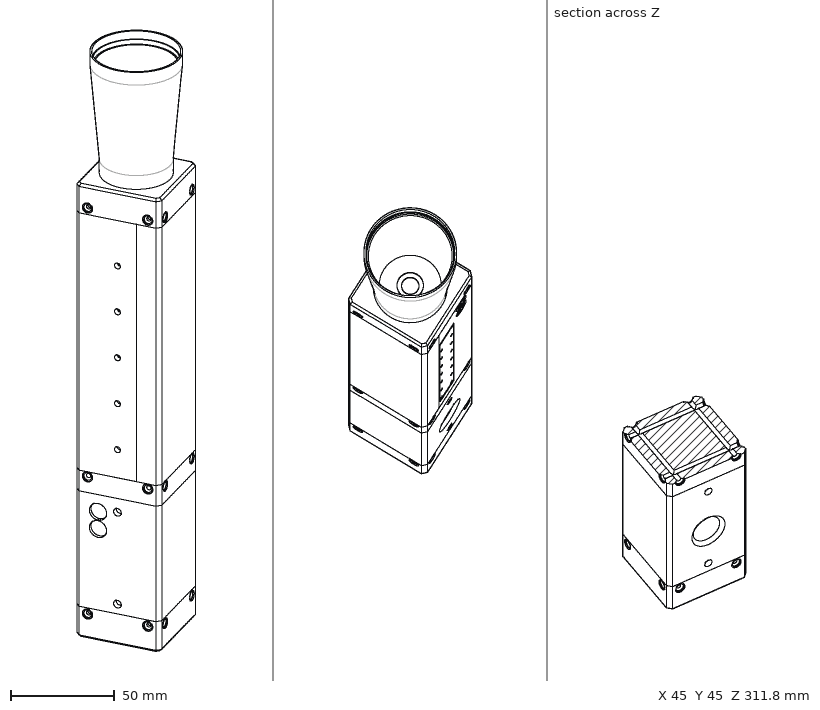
import cadquery as cq

WIDTH = 45.0
HALF = WIDTH / 2
CORNER_BEVEL = 2.2
END_BEVEL = 1.2

BOTTOM_CAP_TOP = 16.8
LOWER_BOX_TOP = 79.5
MIDDLE_PLATE_TOP = 90.7
UPPER_BOX_TOP = 230.5
TOP_CAP_TOP = 246.0
TOTAL_HEIGHT = 311.8

HORN_NECK_DIAMETER = 36.0
HORN_NECK_TOP = 253.5
HORN_RIM_BOTTOM = 305.0
HORN_MOUTH_DIAMETER = 43.0
HORN_MOUTH_DEPTH = 4.5
HORN_SEAT_DIAMETER = 42.0
HORN_THROAT_DIAMETER = 40.5
HORN_FLOOR_DIAMETER = 30.0
HORN_FLOOR_HEIGHT = 249.0
FEED_RING_DIAMETER = 12.8
FEED_RING_DEPTH = 1.0
FEED_BORE_DIAMETER = 8.5
FEED_BORE_DEPTH = 2.0

SIDE_COUNT = 4
SCREW_OFFSET = 16.0
SCREW_HEAD_DIAMETER = 5.3
SCREW_HEAD_DEPTH = 0.5
SCREW_SINK_DIAMETER = 4.0
SCREW_HOLE_DIAMETER = 2.2
SCREW_HOLE_DEPTH = 3.0
BOTTOM_SCREW_HEIGHT = 13.5
MIDDLE_SCREW_HEIGHT = 88.0
TOP_SCREW_HEIGHT = 234.0

COVER_EDGE = 10.0
COVER_HOLE_DIAMETER = 3.0
COVER_HOLE_DEPTH = 3.0
COVER_HOLE_COUNT = 5
COVER_HOLE_PITCH = 25.0
COVER_HOLE_CENTRE = 156.0

STRIP_BOTTOM = 99.5
STRIP_TOP = 208.0
STRIP_BACK = 8.7
STRIP_FRONT = -4.0
STRIP_DEPTH = 0.3
STRIP_HOLE_DIAMETER = 1.5
STRIP_HOLE_DEPTH = 1.0
STRIP_HOLE_ROWS = 8
STRIP_HOLE_PITCH = 15.0
STRIP_HOLE_SPACING = 9.0

CONNECTOR_Y = -10.5
CONNECTOR_HEIGHTS = (224.8, 215.5)
CONNECTOR_DIAMETER = 9.0
CONNECTOR_LENGTH = 6.2
SOCKET_DIAMETER = 6.2
SOCKET_DEPTH = 3.0
PIN_DIAMETER = 1.1
PIN_CIRCLE = 3.7
PIN_START_ANGLE = 45
PIN_COUNTS = (3, 4)

MOUNT_HOLE_DIAMETER = 4.0
MOUNT_HOLE_DEPTH = 3.0
MOUNT_HOLE_HEIGHTS = (22.0, 72.0)
PORT_X = -10.3
PORT_HEIGHTS = (70.0, 60.8)
PORT_DIAMETER = 9.0
PORT_DEPTH = 2.0
WINDOW_HEIGHT = 44.5
WINDOW_DIAMETER = 18.7
WINDOW_FLOOR_DIAMETER = 15.0
WINDOW_DEPTH = 2.0


def column(bottom, top):
    """A length of the bevelled square column."""
    return (
        cq.Workplane("XY", origin=(0, 0, bottom))
        .rect(WIDTH, WIDTH)
        .extrude(top - bottom)
        .edges("|Z")
        .chamfer(CORNER_BEVEL)
    )


def front_cylinder(x, z, diameter, depth):
    """A round cutter going in from the -Y face."""
    return cq.Workplane("XZ", origin=(x, -HALF, z)).circle(diameter / 2).extrude(-depth)


def side_cylinder(y, z, diameter, depth):
    """A round cutter going in from the -X face."""
    return cq.Workplane("YZ", origin=(-HALF, y, z)).circle(diameter / 2).extrude(depth)


def countersunk_cutter(z, offset, hole_depth):
    """A countersunk hole going in from the -Y face."""
    head = SCREW_HEAD_DIAMETER / 2
    rim = SCREW_SINK_DIAMETER / 2
    shank = SCREW_HOLE_DIAMETER / 2
    sink_bottom = SCREW_HEAD_DEPTH + rim - shank
    half_section = [
        (0, 0),
        (head, 0),
        (head, SCREW_HEAD_DEPTH),
        (rim, SCREW_HEAD_DEPTH),
        (shank, sink_bottom),
        (shank, hole_depth),
        (0, hole_depth),
    ]
    cutter = cq.Workplane("XY").polyline(half_section).close().revolve(360, (0, 0, 0), (0, 1, 0))
    return cutter.translate((offset, -HALF, z))


def cut_screw_holes(body, z, hole_depth):
    """Two countersunk holes in each of the four sides."""
    for side in range(SIDE_COUNT):
        for offset in (-SCREW_OFFSET, SCREW_OFFSET):
            cutter = countersunk_cutter(z, offset, hole_depth)
            body = body.cut(cutter.rotate((0, 0, 0), (0, 0, 1), side * 360 / SIDE_COUNT))
    return body


def make_bottom_cap():
    cap = column(0, BOTTOM_CAP_TOP).faces("<Z").chamfer(END_BEVEL)
    return cut_screw_holes(cap, BOTTOM_SCREW_HEIGHT, SCREW_HOLE_DEPTH)


def make_lower_box():
    box = column(BOTTOM_CAP_TOP, LOWER_BOX_TOP)
    for z in MOUNT_HOLE_HEIGHTS:
        box = box.cut(front_cylinder(0, z, MOUNT_HOLE_DIAMETER, MOUNT_HOLE_DEPTH))
        box = box.cut(side_cylinder(0, z, MOUNT_HOLE_DIAMETER, MOUNT_HOLE_DEPTH))
    for z in PORT_HEIGHTS:
        box = box.cut(front_cylinder(PORT_X, z, PORT_DIAMETER, PORT_DEPTH))
    window = (
        cq.Workplane("YZ", origin=(-HALF, 0, WINDOW_HEIGHT))
        .circle(WINDOW_DIAMETER / 2)
        .workplane(offset=WINDOW_DEPTH)
        .circle(WINDOW_FLOOR_DIAMETER / 2)
        .loft()
    )
    return box.cut(window)


def make_middle_plate():
    plate = column(LOWER_BOX_TOP, MIDDLE_PLATE_TOP)
    return cut_screw_holes(plate, MIDDLE_SCREW_HEIGHT, WIDTH)


def cover_region():
    """The part of the upper box taken by the cover, toward the -X, -Y corner."""
    side = HALF + COVER_EDGE
    height = UPPER_BOX_TOP - MIDDLE_PLATE_TOP
    corner = (-HALF, -HALF, MIDDLE_PLATE_TOP)
    return cq.Workplane("XY", origin=corner).box(side, side, height, centered=False)


def make_frame():
    return column(MIDDLE_PLATE_TOP, UPPER_BOX_TOP).cut(cover_region())


def cut_strip(cover):
    """A shallow rectangular panel with two columns of small holes."""
    width = STRIP_BACK - STRIP_FRONT
    height = STRIP_TOP - STRIP_BOTTOM
    middle_y = (STRIP_BACK + STRIP_FRONT) / 2
    middle_z = (STRIP_TOP + STRIP_BOTTOM) / 2
    panel = cq.Workplane("YZ", origin=(-HALF, middle_y, middle_z)).rect(width, height).extrude(STRIP_DEPTH)
    holes = (
        cq.Workplane("YZ", origin=(-HALF, middle_y, middle_z))
        .rarray(STRIP_HOLE_SPACING, STRIP_HOLE_PITCH, 2, STRIP_HOLE_ROWS)
        .circle(STRIP_HOLE_DIAMETER / 2)
        .extrude(STRIP_DEPTH + STRIP_HOLE_DEPTH)
    )
    return cover.cut(panel).cut(holes)


def make_cover():
    cover = column(MIDDLE_PLATE_TOP, UPPER_BOX_TOP).intersect(cover_region())
    for index in range(COVER_HOLE_COUNT):
        z = COVER_HOLE_CENTRE + (index - (COVER_HOLE_COUNT - 1) / 2) * COVER_HOLE_PITCH
        cover = cover.cut(front_cylinder(0, z, COVER_HOLE_DIAMETER, COVER_HOLE_DEPTH))
    for z in CONNECTOR_HEIGHTS:
        cover = cover.cut(side_cylinder(CONNECTOR_Y, z, CONNECTOR_DIAMETER, CONNECTOR_LENGTH))
    return cut_strip(cover)


def make_connector(z, pin_count):
    """A round plug with a socket and a ring of pins standing in it."""
    body = side_cylinder(CONNECTOR_Y, z, CONNECTOR_DIAMETER, CONNECTOR_LENGTH)
    body = body.cut(side_cylinder(CONNECTOR_Y, z, SOCKET_DIAMETER, SOCKET_DEPTH))
    pins = (
        cq.Workplane("YZ", origin=(-HALF, CONNECTOR_Y, z))
        .polarArray(PIN_CIRCLE / 2, PIN_START_ANGLE, 360, pin_count)
        .circle(PIN_DIAMETER / 2)
        .extrude(SOCKET_DEPTH)
    )
    return body.union(pins)


def make_top_cap():
    cap = column(UPPER_BOX_TOP, TOP_CAP_TOP).faces(">Z").chamfer(END_BEVEL)
    return cut_screw_holes(cap, TOP_SCREW_HEIGHT, SCREW_HOLE_DEPTH)


def make_horn():
    """A flared horn with two ledges in its mouth, a conical throat and a stepped feed bore."""
    ledge_height = TOTAL_HEIGHT - HORN_MOUTH_DEPTH
    half_section = [
        (0, TOP_CAP_TOP),
        (HORN_NECK_DIAMETER / 2, TOP_CAP_TOP),
        (HORN_NECK_DIAMETER / 2, HORN_NECK_TOP),
        (HALF, HORN_RIM_BOTTOM),
        (HALF, TOTAL_HEIGHT),
        (HORN_MOUTH_DIAMETER / 2, TOTAL_HEIGHT),
        (HORN_MOUTH_DIAMETER / 2, ledge_height),
        (HORN_SEAT_DIAMETER / 2, ledge_height),
        (HORN_SEAT_DIAMETER / 2, HORN_RIM_BOTTOM),
        (HORN_THROAT_DIAMETER / 2, HORN_RIM_BOTTOM),
        (HORN_FLOOR_DIAMETER / 2, HORN_FLOOR_HEIGHT),
        (FEED_RING_DIAMETER / 2, HORN_FLOOR_HEIGHT),
        (FEED_RING_DIAMETER / 2, HORN_FLOOR_HEIGHT - FEED_RING_DEPTH),
        (FEED_BORE_DIAMETER / 2, HORN_FLOOR_HEIGHT - FEED_RING_DEPTH),
        (FEED_BORE_DIAMETER / 2, HORN_FLOOR_HEIGHT - FEED_BORE_DEPTH),
        (0, HORN_FLOOR_HEIGHT - FEED_BORE_DEPTH),
    ]
    return cq.Workplane("XZ").polyline(half_section).close().revolve(360, (0, 0, 0), (0, 1, 0))


bottom_cap = make_bottom_cap()
lower_box = make_lower_box()
middle_plate = make_middle_plate()
frame = make_frame()
cover = make_cover()
top_cap = make_top_cap()
horn = make_horn()
connectors = [make_connector(z, count) for z, count in zip(CONNECTOR_HEIGHTS, PIN_COUNTS)]

result = cq.Compound.makeCompound(
    [
        bottom_cap.val(),
        lower_box.val(),
        middle_plate.val(),
        frame.val(),
        cover.val(),
        top_cap.val(),
        horn.val(),
        *[connector.val() for connector in connectors],
    ]
)